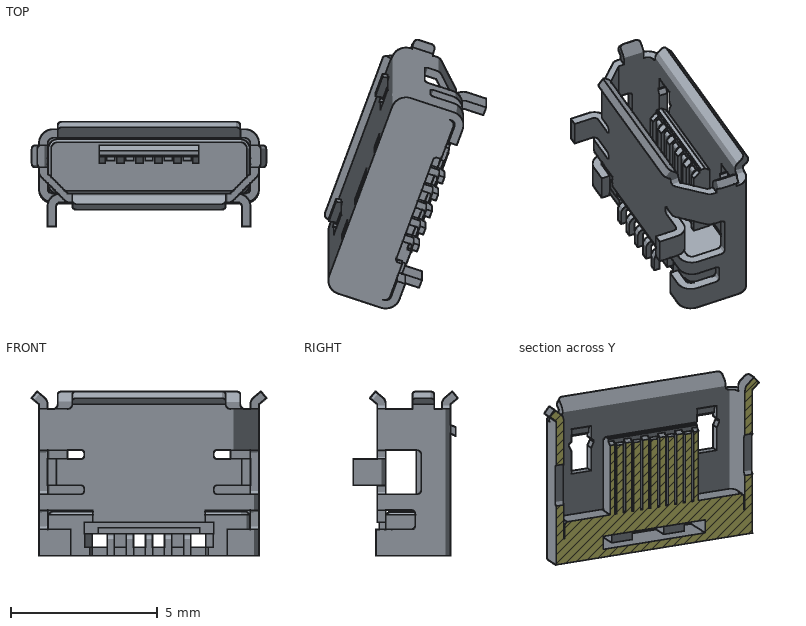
import cadquery as cq
import math


OVERLAP = 0.05
REACH = 10.0

SHEET = 0.3
HALF_WIDTH = 3.75
HALF_DEPTH = 1.25
INNER_WIDTH = HALF_WIDTH - SHEET
INNER_DEPTH = HALF_DEPTH - SHEET
SHELL_TOP = 5.0
CORNER_RADIUS = 0.5
MOUTH_CHAMFER = 0.95
MOUTH_INNER_CHAMFER = 0.69
MOUTH_CORNER_RADIUS = 0.3

WINDOW_BOTTOM = 2.1
WINDOW_TOP = 3.6
WINDOW_BACK = 0.25
SLOT_HEIGHT = 0.3
SLOT_INNER_X = 2.21
SLOT_RADIUS = 0.1
GAP_TOP = 1.56
GAP_BACK = 0.05
OPENING_RADIUS = 0.15
APRON_HALF_WIDTH = 1.91

BAND_TOP = 0.9
BAND_FRONT = 1.29
BAND_INNER_X = 2.656

LEG_OUTER_X = 3.46
LEG_BEND_RADIUS = 0.15
LEG_TIP_Y = -2.07
LEG_BEND_X = LEG_OUTER_X - SHEET - LEG_BEND_RADIUS

TOTAL_HEIGHT = 5.6
LIP_ANGLE = math.radians(50)
LIP_REACH = 0.25
LIP_LENGTH = LIP_REACH / math.sin(LIP_ANGLE)
LIP_BEND_Z = TOTAL_HEIGHT - SHEET * math.sin(LIP_ANGLE) - LIP_LENGTH * math.cos(LIP_ANGLE)
LIP_CORNER = 0.15
LIP_ROOT_RADIUS = LIP_BEND_Z - SHELL_TOP
BACK_LIP_HALF = 3.11
FRONT_LIP_HALF = 2.61
SIDE_LIP_HALF = 0.375
SIDE_LIP_Y = 0.32

LATCH_INNER_X = 2.02
LATCH_OUTER_X = 2.77
LATCH_BOTTOM = 2.9
LATCH_TOP = 4.5
NOTCH_DEPTH = 0.1
NOTCH_BOTTOM = 3.72
NOTCH_WIDE_FROM = 3.92
NOTCH_WIDE_TO = 3.97
NOTCH_TOP = 4.05
TAB_OFFSET = 0.18
TAB_RISE = 0.08
TAB_BEND_TOP = 4.46
TAB_TIP = 4.07
TAB_TIP_RISE = 0.15

FLOOR_Z = 1.5
PLUG_HALF_WIDTH = 3.43
PLUG_BACK = 0.9
PLUG_RADIUS = 0.32
HOUSING_CHAMFER = 0.1
STEP_HALF_WIDTH = 2.21
STEP_FRONT = -1.18
STEP_TOP = 1.14
RECESS_HALF_WIDTH = 1.72
RECESS_TOP = 0.95
RECESS_BACK = -1.03

CHANNEL_TOP = 0.75
CHANNEL_FRONT_HALF = 2.19
CHANNEL_BACK_HALF = 1.93
CHANNEL_NECK = -0.3
BAR_TOP = 0.3
BAR_FRONT = -0.7
SILL_FRONT_HALF = 2.01
SILL_BACK_HALF = 1.94
POST_INNER_X = 0.6
POST_OUTER_X = 1.38
POST_FRONT = 0.65

TONGUE_HALF_WIDTH = 1.69
TONGUE_FRONT = 0.08
TONGUE_BACK = 0.69
TONGUE_TOP = 4.2
TONGUE_FLAT_BACK = 0.505
TONGUE_FLAT_FRONT = 0.356
TONGUE_BACK_DROP = 0.15
TONGUE_EDGE_DROP = 0.03
TONGUE_RIB_DROP = 0.11
TONGUE_FRONT_DROP = 0.3

CONTACT_COUNT = 5
CONTACT_PITCH = 0.65
GROOVE_WIDTH = 0.39
GROOVE_BACK = 0.3
BLADE_WIDTH = 0.27
BLADE_FRONT = 0.17
BLADE_TOP = 4.0
BLADE_RADIUS = 0.1
PIN_WIDTH = 0.25
PIN_THICKNESS = 0.2
PIN_FRONT = -1.28
PIN_BACK = -0.5
PIN_BEND_RADIUS = 0.25


def block(x0, x1, y0, y1, z0, z1):
    """Box given by its limits along each axis."""
    return cq.Workplane("XY").box(x1 - x0, y1 - y0, z1 - z0, centered=False).translate((x0, y0, z0))


def both_sides(body):
    """The body together with its mirror image across the YZ plane."""
    return body.union(body.mirror("YZ"))


def contact_positions():
    return [(i - (CONTACT_COUNT - 1) / 2) * CONTACT_PITCH for i in range(CONTACT_COUNT)]


def rounded_ring(front, z0, z1):
    """Shell section with four round corners and its front wall at y = -front."""
    outer = block(-HALF_WIDTH, HALF_WIDTH, -front, HALF_DEPTH, z0, z1).edges("|Z").fillet(CORNER_RADIUS)
    inner = block(-INNER_WIDTH, INNER_WIDTH, SHEET - front, INNER_DEPTH, z0, z1)
    return outer.cut(inner.edges("|Z").fillet(CORNER_RADIUS - SHEET))


def mouth_ring(z0, z1):
    """Shell section with round back corners and cut-off front corners."""
    outer = block(-HALF_WIDTH, HALF_WIDTH, -HALF_DEPTH, HALF_DEPTH, z0, z1)
    outer = outer.edges("|Z and >Y").fillet(CORNER_RADIUS)
    outer = outer.edges("|Z and <Y").chamfer(MOUTH_CHAMFER)
    front_corners = cq.selectors.BoxSelector(
        (-REACH, -REACH, -REACH), (REACH, HALF_DEPTH - CORNER_RADIUS - OVERLAP, REACH)
    )
    outer = outer.edges("|Z").edges(front_corners).fillet(MOUTH_CORNER_RADIUS)
    inner = block(-INNER_WIDTH, INNER_WIDTH, -INNER_DEPTH, INNER_DEPTH, z0, z1)
    inner = inner.edges("|Z and >Y").fillet(CORNER_RADIUS - SHEET)
    inner = inner.edges("|Z and <Y").chamfer(MOUTH_INNER_CHAMFER)
    return outer.cut(inner)


def shell_body():
    band = rounded_ring(BAND_FRONT, 0, BAND_TOP)
    band = band.cut(block(-BAND_INNER_X, BAND_INNER_X, -REACH, 0, 0, BAND_TOP))
    middle = rounded_ring(HALF_DEPTH, BAND_TOP, WINDOW_TOP)
    middle = middle.cut(block(-REACH, REACH, -REACH, -INNER_DEPTH, BAND_TOP, STEP_TOP))
    return band.union(middle).union(mouth_ring(WINDOW_TOP, SHELL_TOP)).cut(shell_openings())


def shell_openings():
    """Side windows, leg slots and the openings above the foot band."""
    window = block(LEG_BEND_X, REACH, -REACH, WINDOW_BACK, WINDOW_BOTTOM, WINDOW_TOP)
    window = window.edges("|X and >Y").fillet(OPENING_RADIUS)
    gap = block(APRON_HALF_WIDTH, REACH, -REACH, GAP_BACK, BAND_TOP, GAP_TOP)
    openings = window.union(gap.edges("|X and >Y").fillet(OPENING_RADIUS))
    for z0 in (WINDOW_BOTTOM, WINDOW_TOP - SLOT_HEIGHT):
        slot = block(SLOT_INNER_X, LEG_OUTER_X, -REACH, -INNER_DEPTH, z0, z0 + SLOT_HEIGHT)
        openings = openings.union(slot.edges("|Y and <X").fillet(SLOT_RADIUS))
    return both_sides(openings)


def legs():
    z0 = WINDOW_BOTTOM + SLOT_HEIGHT
    z1 = WINDOW_TOP - SLOT_HEIGHT
    outer_radius = LEG_BEND_RADIUS + SHEET
    bend_y = -HALF_DEPTH - LEG_BEND_RADIUS
    diagonal = math.sqrt(0.5)
    leg = (
        cq.Workplane("XY", origin=(0, 0, z0))
        .moveTo(LEG_BEND_X - OVERLAP, -INNER_DEPTH)
        .lineTo(LEG_BEND_X, -INNER_DEPTH)
        .threePointArc(
            (LEG_BEND_X + outer_radius * diagonal, bend_y + outer_radius * diagonal),
            (LEG_OUTER_X, bend_y),
        )
        .lineTo(LEG_OUTER_X, LEG_TIP_Y)
        .lineTo(LEG_OUTER_X - SHEET, LEG_TIP_Y)
        .lineTo(LEG_OUTER_X - SHEET, bend_y)
        .threePointArc(
            (LEG_BEND_X + LEG_BEND_RADIUS * diagonal, bend_y + LEG_BEND_RADIUS * diagonal),
            (LEG_BEND_X, -HALF_DEPTH),
        )
        .lineTo(LEG_BEND_X - OVERLAP, -HALF_DEPTH)
        .close()
        .extrude(z1 - z0)
    )
    return both_sides(leg)


def lip(half_length, wall):
    """Lip along X that rises from a back wall with its outer face at y = wall, and flares to +Y."""

    def bend_point(angle, radius):
        return (wall - radius * math.cos(angle), LIP_BEND_Z + radius * math.sin(angle))

    def tip_point(radius):
        y, z = bend_point(LIP_ANGLE, radius)
        return (y + LIP_LENGTH * math.sin(LIP_ANGLE), z + LIP_LENGTH * math.cos(LIP_ANGLE))

    body = (
        cq.Workplane("YZ", origin=(-half_length, 0, 0))
        .moveTo(wall, SHELL_TOP - OVERLAP)
        .lineTo(wall, LIP_BEND_Z)
        .lineTo(*tip_point(0))
        .lineTo(*tip_point(SHEET))
        .lineTo(*bend_point(LIP_ANGLE, SHEET))
        .threePointArc(bend_point(LIP_ANGLE / 2, SHEET), bend_point(0, SHEET))
        .lineTo(wall - SHEET, SHELL_TOP - OVERLAP)
        .close()
        .extrude(2 * half_length)
    )
    tip_y = (tip_point(0)[0] + tip_point(SHEET)[0]) / 2
    tip_z = (tip_point(0)[1] + tip_point(SHEET)[1]) / 2
    for end in (-half_length, half_length):
        body = body.edges(cq.selectors.NearestToPointSelector((end, tip_y, tip_z))).fillet(LIP_CORNER)
    return body


def lip_root(half_length, y0, y1):
    """Concave fillets that spread the foot of a lip onto the top edge of the shell."""
    foot_half = half_length + LIP_ROOT_RADIUS
    foot = block(-foot_half, foot_half, y0, y1, SHELL_TOP, LIP_BEND_Z)
    hollows = (
        cq.Workplane("XZ", origin=(0, y1, 0))
        .pushPoints([(-foot_half, LIP_BEND_Z), (foot_half, LIP_BEND_Z)])
        .circle(LIP_ROOT_RADIUS)
        .extrude(y1 - y0)
    )
    return foot.cut(hollows).intersect(mouth_ring(SHELL_TOP, LIP_BEND_Z))


def lips():
    z_axis = ((0, 0, 0), (0, 0, 1))
    body = lip(BACK_LIP_HALF, HALF_DEPTH)
    body = body.union(lip(FRONT_LIP_HALF, HALF_DEPTH).rotate(*z_axis, 180))
    body = body.union(lip_root(BACK_LIP_HALF, INNER_DEPTH, HALF_DEPTH))
    body = body.union(lip_root(FRONT_LIP_HALF, -HALF_DEPTH, -INNER_DEPTH))
    side = lip(SIDE_LIP_HALF, HALF_WIDTH).rotate(*z_axis, -90).translate((0, SIDE_LIP_Y, 0))
    return body.union(both_sides(side))


def latch_windows():
    window = block(LATCH_INNER_X, LATCH_OUTER_X, INNER_DEPTH, HALF_DEPTH, LATCH_BOTTOM, LATCH_TOP)
    notches = (
        cq.Workplane("XZ", origin=(0, HALF_DEPTH, 0))
        .polyline([
            (LATCH_INNER_X, NOTCH_BOTTOM),
            (LATCH_OUTER_X, NOTCH_BOTTOM),
            (LATCH_OUTER_X + NOTCH_DEPTH, NOTCH_WIDE_FROM),
            (LATCH_OUTER_X + NOTCH_DEPTH, NOTCH_WIDE_TO),
            (LATCH_OUTER_X, NOTCH_TOP),
            (LATCH_INNER_X, NOTCH_TOP),
            (LATCH_INNER_X - NOTCH_DEPTH, NOTCH_WIDE_TO),
            (LATCH_INNER_X - NOTCH_DEPTH, NOTCH_WIDE_FROM),
        ])
        .close()
        .extrude(SHEET)
    )
    return both_sides(window.union(notches))


def latch_tabs():
    """Tabs that hang from the top of the latch windows and stand out behind the back wall."""
    tab_outer = HALF_DEPTH + TAB_OFFSET
    tab_inner = INNER_DEPTH + TAB_OFFSET
    diagonal = TAB_OFFSET * math.sqrt(0.5)
    bend_z = LATCH_TOP - TAB_OFFSET
    tab = (
        cq.Workplane("YZ", origin=(LATCH_INNER_X, 0, 0))
        .moveTo(INNER_DEPTH, LATCH_TOP)
        .lineTo(HALF_DEPTH, LATCH_TOP)
        .lineTo(HALF_DEPTH, TAB_BEND_TOP)
        .lineTo(tab_outer, TAB_BEND_TOP - TAB_RISE)
        .lineTo(tab_outer, TAB_TIP)
        .lineTo(tab_inner, TAB_TIP + TAB_TIP_RISE)
        .lineTo(tab_inner, bend_z)
        .threePointArc((INNER_DEPTH + diagonal, bend_z + diagonal), (INNER_DEPTH, LATCH_TOP))
        .close()
        .extrude(LATCH_OUTER_X - LATCH_INNER_X)
    )
    return both_sides(tab)


def housing():
    base = block(-INNER_WIDTH, INNER_WIDTH, -INNER_DEPTH, INNER_DEPTH, 0, BAND_TOP)
    base = base.edges("|Z").fillet(CORNER_RADIUS - SHEET)
    plug = block(-PLUG_HALF_WIDTH, PLUG_HALF_WIDTH, -INNER_DEPTH, PLUG_BACK, 0, FLOOR_Z)
    plug = plug.edges("|Z").fillet(PLUG_RADIUS).faces(">Z").edges().chamfer(HOUSING_CHAMFER)
    step_back = -INNER_DEPTH + OVERLAP
    step = block(-STEP_HALF_WIDTH, STEP_HALF_WIDTH, STEP_FRONT, step_back, CHANNEL_TOP, STEP_TOP)
    recess = block(
        -RECESS_HALF_WIDTH, RECESS_HALF_WIDTH, STEP_FRONT, RECESS_BACK, CHANNEL_TOP, RECESS_TOP
    )
    return base.union(plug).union(step.cut(recess))


def shouldered_cut(front_half, back_half, y1, z0, z1):
    """Cut from the front of the housing to y1 that narrows through 45 degree shoulders at its end."""
    shoulder_y = y1 - (front_half - back_half)
    half_outline = [(front_half, -INNER_DEPTH), (front_half, shoulder_y), (back_half, y1)]
    outline = half_outline + [(-x, y) for x, y in reversed(half_outline)]
    return cq.Workplane("XY", origin=(0, 0, z0)).polyline(outline).close().extrude(z1 - z0)


def channel():
    """Passage under the housing, open to the front and, between the posts, to the back."""
    mouth = shouldered_cut(CHANNEL_FRONT_HALF, CHANNEL_BACK_HALF, CHANNEL_NECK, BAR_TOP, CHANNEL_TOP)
    passage = block(-CHANNEL_BACK_HALF, CHANNEL_BACK_HALF, CHANNEL_NECK, HALF_DEPTH, BAR_TOP, CHANNEL_TOP)
    post = block(POST_INNER_X, POST_OUTER_X, POST_FRONT, HALF_DEPTH, BAR_TOP, CHANNEL_TOP)
    sill = shouldered_cut(SILL_FRONT_HALF, SILL_BACK_HALF, BAR_FRONT, 0, BAR_TOP)
    return passage.cut(both_sides(post)).union(mouth).union(sill)


def tongue():
    section = [
        (TONGUE_FRONT, FLOOR_Z - OVERLAP),
        (TONGUE_FRONT, TONGUE_TOP - TONGUE_FRONT_DROP),
        (GROOVE_BACK, TONGUE_TOP - TONGUE_RIB_DROP),
        (GROOVE_BACK, TONGUE_TOP - TONGUE_EDGE_DROP),
        (TONGUE_FLAT_FRONT, TONGUE_TOP),
        (TONGUE_FLAT_BACK, TONGUE_TOP),
        (TONGUE_BACK, TONGUE_TOP - TONGUE_BACK_DROP),
        (TONGUE_BACK, FLOOR_Z - OVERLAP),
    ]
    start = cq.Workplane("YZ", origin=(-TONGUE_HALF_WIDTH, 0, 0))
    body = start.polyline(section).close().extrude(2 * TONGUE_HALF_WIDTH)
    for x in contact_positions():
        half = GROOVE_WIDTH / 2
        body = body.cut(block(x - half, x + half, 0, GROOVE_BACK, FLOOR_Z, TONGUE_TOP))
    return body


def blade(x):
    """Part of a contact that lies in a groove of the tongue."""
    half = BLADE_WIDTH / 2
    body = block(x - half, x + half, BLADE_FRONT, GROOVE_BACK + OVERLAP, FLOOR_Z - OVERLAP, BLADE_TOP)
    return body.edges("|X and >Z and <Y").fillet(BLADE_RADIUS)


def pin(x):
    """Tail of a contact: runs forward under the housing and bends down to the board."""
    half = PIN_WIDTH / 2
    body = block(x - half, x + half, PIN_FRONT, PIN_BACK, 0, CHANNEL_TOP)
    body = body.edges("|X and >Z and <Y").fillet(PIN_BEND_RADIUS)
    under = block(
        x - half, x + half, PIN_FRONT + PIN_THICKNESS, PIN_BACK, 0, CHANNEL_TOP - PIN_THICKNESS
    )
    return body.cut(under.edges("|X and >Z and <Y").fillet(PIN_BEND_RADIUS - PIN_THICKNESS))


def connector():
    shell = shell_body().cut(latch_windows())
    body = shell.union(housing()).cut(channel())
    body = body.union(legs()).union(lips()).union(latch_tabs()).union(tongue())
    for x in contact_positions():
        body = body.union(blade(x)).union(pin(x))
    return body


result = connector()